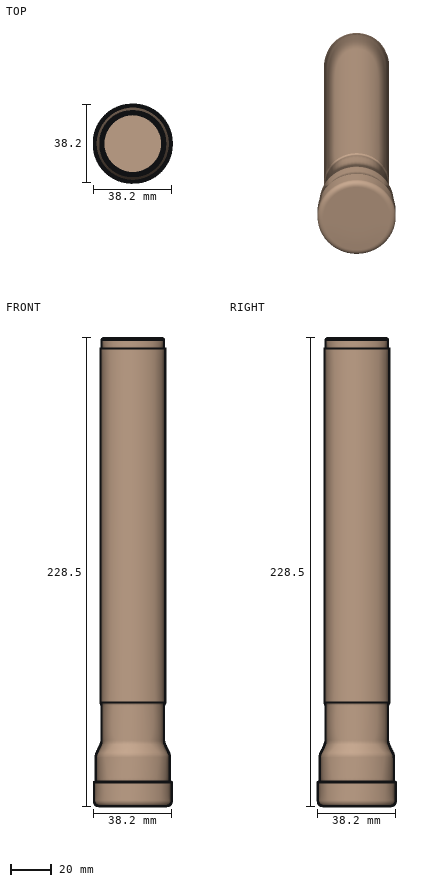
import cadquery as cq
import math

total_height = 228.5
tool_radius = 38.2 / 2

head_height = 12.1
rim_rounding = 2.7
shoulder_rise = 0.5

collar_radius = 36.3 / 2
collar_top = 25.0
taper_top = 31.0
taper_rounding = 4.5
neck_radius = 15.3
shank_radius = 31.8 / 2
shank_bottom = 50.7
flare_rounding = 1.4
tip_height = 5.0
tip_chamfer = 1.0


def make_cutting_head():
    """Disc with a shallow sloped shoulder on top and a rounded lower rim."""
    profile = [
        (0, 0),
        (tool_radius, 0),
        (tool_radius, head_height - shoulder_rise),
        (collar_radius, head_height),
        (0, head_height),
    ]
    disc = cq.Workplane("XZ").polyline(profile).close().revolve(360, (0, 0), (0, 1))
    return disc.faces("<Z").edges().fillet(rim_rounding)


def make_holder():
    """Turned bar standing on the head, revolved from its half profile."""
    tip_bottom = total_height - tip_height
    taper_angle = math.atan2(collar_radius - neck_radius, taper_top - collar_top)

    setback = taper_rounding * math.tan(taper_angle / 2)
    setback_across = setback * math.sin(taper_angle)
    setback_along = setback * math.cos(taper_angle)

    flare_corner = shank_bottom - (shank_radius - neck_radius) / math.tan(taper_angle)
    flare_setback = flare_rounding * math.tan(taper_angle / 2)
    flare_start = (
        neck_radius + flare_setback * math.sin(taper_angle),
        flare_corner + flare_setback * math.cos(taper_angle),
    )

    profile = (
        cq.Workplane("XZ")
        .moveTo(0, head_height)
        .lineTo(collar_radius, head_height)
        .lineTo(collar_radius, collar_top - setback)
        .tangentArcPoint((collar_radius - setback_across, collar_top + setback_along), relative=False)
        .lineTo(neck_radius + setback_across, taper_top - setback_along)
        .tangentArcPoint((neck_radius, taper_top + setback), relative=False)
        .lineTo(neck_radius, flare_corner - flare_setback)
        .tangentArcPoint(flare_start, relative=False)
        .lineTo(shank_radius, shank_bottom)
        .lineTo(shank_radius, tip_bottom)
        .lineTo(neck_radius, tip_bottom)
        .lineTo(neck_radius, total_height - tip_chamfer)
        .lineTo(neck_radius - tip_chamfer, total_height)
        .lineTo(0, total_height)
        .close()
    )
    return profile.revolve(360, (0, 0), (0, 1))


cutting_head = make_cutting_head()
holder = make_holder()

result = cq.Compound.makeCompound([cutting_head.val(), holder.val()])